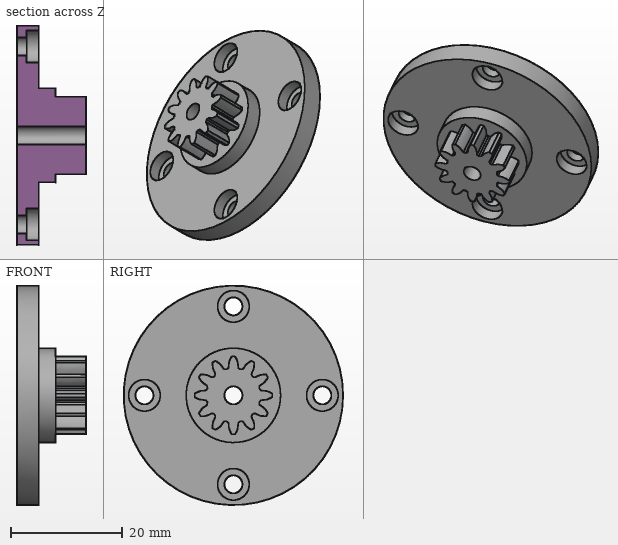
import cadquery as cq
import math

disc_diameter = 39.5
disc_thickness = 4.0
hub_diameter = 17.0
hub_thickness = 3.0
pinion_length = 5.5

hole_diameter = 3.2
hole_ring_radius = 16.0
hole_count = 4

counterbore_diameter = 5.7
counterbore_depth = 2.2

tooth_count = 12
tip_diameter = 14.0
pressure_angle = math.radians(20)
involute_points = 5

floor_edge_radius = 4.98
floor_half_width = 0.4
floor_middle_radius = 4.8

module = tip_diameter / (tooth_count + 2)
tip_radius = tip_diameter / 2
base_radius = module * tooth_count / 2 * math.cos(pressure_angle)
tooth_pitch = 2 * math.pi / tooth_count


def involute(angle):
    return math.tan(angle) - angle


def polar(radius, angle):
    return (radius * math.cos(angle), radius * math.sin(angle))


def flank_half_angle(radius):
    """Half the angle a tooth spans at the given radius."""
    local_pressure_angle = math.acos(min(1.0, base_radius / radius))
    return tooth_pitch / 4 + involute(pressure_angle) - involute(local_pressure_angle)


def flank(tooth_angle, side):
    """Points from the gap floor along the involute to the tip; side is -1 or +1."""
    root_half_angle = tooth_pitch / 2 - math.asin(floor_half_width / floor_edge_radius)
    points = [polar(floor_edge_radius, tooth_angle + side * root_half_angle)]
    for i in range(involute_points):
        radius = base_radius + (tip_radius - base_radius) * i / (involute_points - 1)
        points.append(polar(radius, tooth_angle + side * flank_half_angle(radius)))
    return points


def make_pinion():
    profile = cq.Workplane("YZ", origin=(disc_thickness + hub_thickness, 0, 0))
    profile = profile.moveTo(*flank(0, -1)[0])
    for tooth in range(tooth_count):
        tooth_angle = tooth * tooth_pitch
        rising = flank(tooth_angle, -1)
        falling = flank(tooth_angle, 1)[::-1]

        profile = profile.spline(rising[1:], includeCurrent=True)
        profile = profile.threePointArc(polar(tip_radius, tooth_angle), falling[0])
        profile = profile.spline(falling[1:], includeCurrent=True)
        profile = profile.lineTo(*polar(floor_middle_radius, tooth_angle + tooth_pitch / 2))
        if tooth < tooth_count - 1:
            profile = profile.lineTo(*flank(tooth_angle + tooth_pitch, -1)[0])
    return profile.close().extrude(pinion_length)


def make_hole_ring(diameter, start, depth):
    """Cylinders on the hole ring, running in +X from the given start."""
    return (
        cq.Workplane("YZ", origin=(start, 0, 0))
        .polarArray(hole_ring_radius, 0, 360, hole_count)
        .circle(diameter / 2)
        .extrude(depth)
    )


disc = cq.Workplane("YZ").circle(disc_diameter / 2).extrude(disc_thickness)
hub = cq.Workplane("YZ", origin=(disc_thickness, 0, 0)).circle(hub_diameter / 2).extrude(hub_thickness)

body = disc.union(hub).union(make_pinion())

total_length = disc_thickness + hub_thickness + pinion_length
axis_hole = cq.Workplane("YZ").circle(hole_diameter / 2).extrude(total_length)
ring_holes = make_hole_ring(hole_diameter, 0, disc_thickness)
counterbores = make_hole_ring(counterbore_diameter, disc_thickness - counterbore_depth, counterbore_depth)

result = body.cut(axis_hole).cut(ring_holes).cut(counterbores)